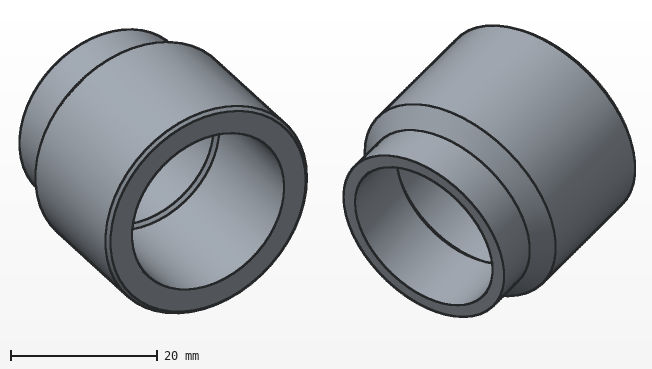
import cadquery as cq

length = 28.0
body_diameter = 32.0
neck_diameter = 26.9
neck_length = 6.08
rim_chamfer = 0.5
bore_diameter = 23.0
bore_depth = 10.0
socket_diameter = 24.13

body_radius = body_diameter / 2
neck_radius = neck_diameter / 2
bore_radius = bore_diameter / 2
socket_radius = socket_diameter / 2

neck_end = -length / 2
body_end = length / 2
shoulder_start = neck_end + neck_length
shoulder_end = shoulder_start + body_radius - neck_radius
bore_end = neck_end + bore_depth
socket_start = bore_end + socket_radius - bore_radius

half_section = (
    cq.Workplane("XY")
    .moveTo(neck_end, bore_radius)
    .lineTo(neck_end, neck_radius)
    .lineTo(shoulder_start, neck_radius)
    .lineTo(shoulder_end, body_radius)
    .lineTo(body_end - rim_chamfer, body_radius)
    .lineTo(body_end, body_radius - rim_chamfer)
    .lineTo(body_end, socket_radius)
    .lineTo(socket_start, socket_radius)
    .lineTo(bore_end, bore_radius)
    .close()
)
result = half_section.revolve(360, (0, 0, 0), (1, 0, 0))